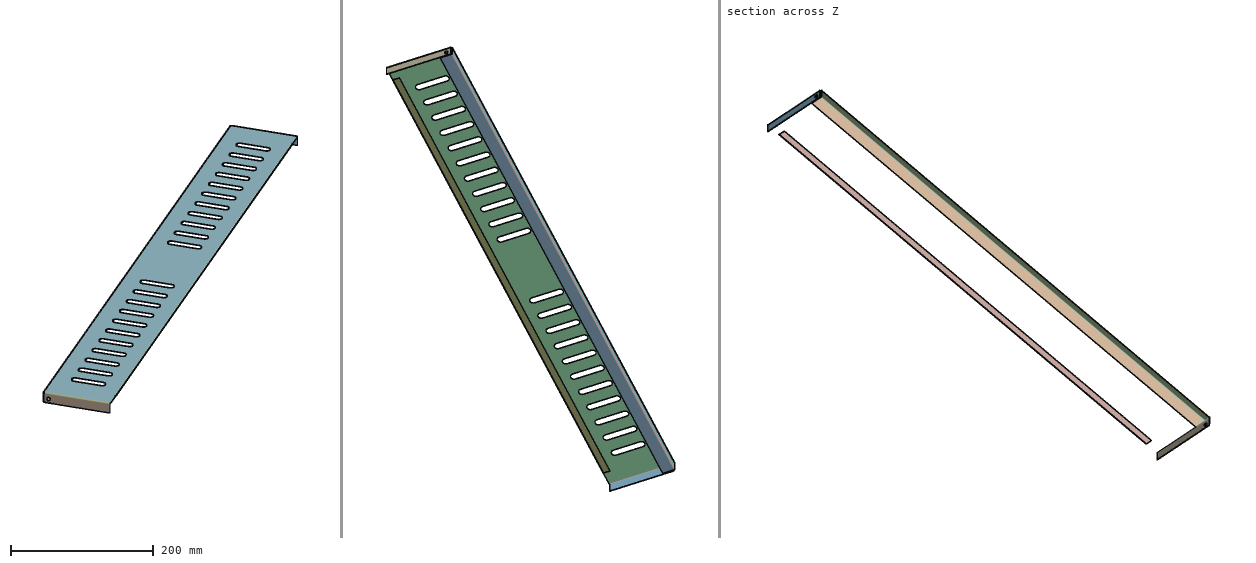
import cadquery as cq

WIDTH = 100.0
LENGTH = 822.0
HEIGHT = 16.0

SHEET = 1.0
BEND_RADIUS = 1.8
INNER_BEND_RADIUS = BEND_RADIUS - SHEET

LIP_WIDTH = 19.0

HEM_WIDTH = 11.0
HEM_RADIUS = 1.3
HEM_END_GAP = 24.0

FLANGE_LEFT_GAP = 2.5
FLANGE_RIGHT_GAP = 0.65

SLOT_LENGTH = 50.0
SLOT_WIDTH = 10.0
SLOT_CENTER_X = 51.0
SLOTS_PER_GROUP = 11
GROUP_GAP_PITCHES = 4
SLOT_ROW_SPAN = 720.0
SLOT_PITCH = SLOT_ROW_SPAN / (2 * (SLOTS_PER_GROUP - 1) + GROUP_GAP_PITCHES)
GROUP_GAP = GROUP_GAP_PITCHES * SLOT_PITCH

HOLE_DIAMETER = 5.1
HOLE_X = 9.0
HOLE_Z = 6.5


def block(x_range, y_range, z_range):
    """Axis-aligned block between the given limits."""
    ranges = (x_range, y_range, z_range)
    sizes = [high - low for low, high in ranges]
    corner = tuple(low for low, high in ranges)
    return cq.Workplane("XY").box(*sizes, centered=False).translate(corner)


def plate_and_channel():
    """Top plate, -X wall and the lip under it."""
    y_range = (BEND_RADIUS, LENGTH - BEND_RADIUS)
    outside = block((0, WIDTH), y_range, (0, HEIGHT))
    outside = outside.edges("|Y and <X").fillet(BEND_RADIUS)
    inside = block((SHEET, WIDTH), y_range, (SHEET, HEIGHT - SHEET))
    inside = inside.edges("|Y and <X").fillet(INNER_BEND_RADIUS)
    beyond_lip = block((LIP_WIDTH, WIDTH), y_range, (0, HEIGHT - SHEET))
    return outside.cut(inside).cut(beyond_lip)


def end_flange():
    """Flange bent down from the plate at the -Y end, with its hole."""
    x_range = (FLANGE_LEFT_GAP, WIDTH - FLANGE_RIGHT_GAP)
    y_end = 2 * BEND_RADIUS
    outside = block(x_range, (0, y_end), (0, HEIGHT))
    outside = outside.edges("|X and <Y and >Z").fillet(BEND_RADIUS)
    inside = block(x_range, (SHEET, y_end), (0, HEIGHT - SHEET))
    inside = inside.edges("|X and <Y and >Z").fillet(INNER_BEND_RADIUS)
    hole = cq.Workplane("XZ").center(HOLE_X, HOLE_Z).circle(HOLE_DIAMETER / 2).extrude(-SHEET)
    return outside.cut(inside).cut(hole)


def hem():
    """U-shaped fold: two sheet layers joined by a half-round bend."""
    x_start = WIDTH - HEM_WIDTH
    x_bend = WIDTH - HEM_RADIUS
    z_bottom = HEIGHT - 2 * HEM_RADIUS
    inner_radius = HEM_RADIUS - SHEET
    profile = (
        cq.Workplane("XZ", origin=(0, HEM_END_GAP, 0))
        .moveTo(x_start, HEIGHT)
        .lineTo(x_bend, HEIGHT)
        .threePointArc((WIDTH, HEIGHT - HEM_RADIUS), (x_bend, z_bottom))
        .lineTo(x_start, z_bottom)
        .lineTo(x_start, z_bottom + SHEET)
        .lineTo(x_bend, z_bottom + SHEET)
        .threePointArc((x_bend + inner_radius, HEIGHT - HEM_RADIUS), (x_bend, HEIGHT - SHEET))
        .lineTo(x_start, HEIGHT - SHEET)
        .close()
    )
    return profile.extrude(-(LENGTH - 2 * HEM_END_GAP))


def slots():
    """Cutters for both groups of slots, mirrored about the middle of the length."""
    offsets = [GROUP_GAP / 2 + i * SLOT_PITCH for i in range(SLOTS_PER_GROUP)]
    centers = [(SLOT_CENTER_X, LENGTH / 2 + side * offset) for side in (-1, 1) for offset in offsets]
    return (
        cq.Workplane("XY", origin=(0, 0, HEIGHT - SHEET))
        .pushPoints(centers)
        .slot2D(SLOT_LENGTH, SLOT_WIDTH)
        .extrude(SHEET)
    )


hem_clearance = block((WIDTH - HEM_RADIUS, WIDTH), (HEM_END_GAP, LENGTH - HEM_END_GAP), (0, HEIGHT))
near_flange = end_flange()
far_flange = near_flange.mirror("XZ", (0, LENGTH / 2, 0))

result = (
    plate_and_channel()
    .cut(hem_clearance)
    .union(hem())
    .union(near_flange)
    .union(far_flange)
    .cut(slots())
)